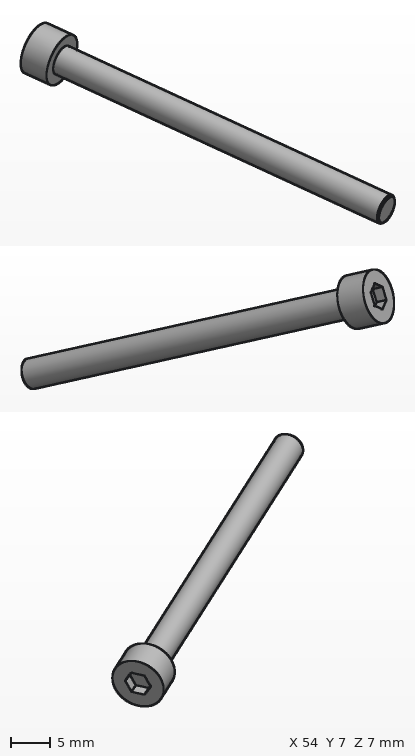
import cadquery as cq
import math

total_length = 54.0
head_diameter = 7.0
head_height = 4.0
shank_diameter = 4.0
tip_chamfer = 0.2
hex_across_flats = 3.0
hex_depth = 1.5

head_face_x = -total_length / 2
shank_length = total_length - head_height


def make_head():
    plane = cq.Workplane("YZ", origin=(head_face_x, 0, 0))
    return plane.circle(head_diameter / 2).extrude(head_height)


def make_shank():
    plane = cq.Workplane("YZ", origin=(head_face_x + head_height, 0, 0))
    shank = plane.circle(shank_diameter / 2).extrude(shank_length)
    return shank.faces(">X").chamfer(tip_chamfer)


def make_hex_socket():
    across_corners = hex_across_flats / math.cos(math.pi / 6)
    plane = cq.Workplane("YZ", origin=(head_face_x, 0, 0))
    return plane.polygon(6, across_corners).extrude(hex_depth)


result = make_head().union(make_shank()).cut(make_hex_socket())